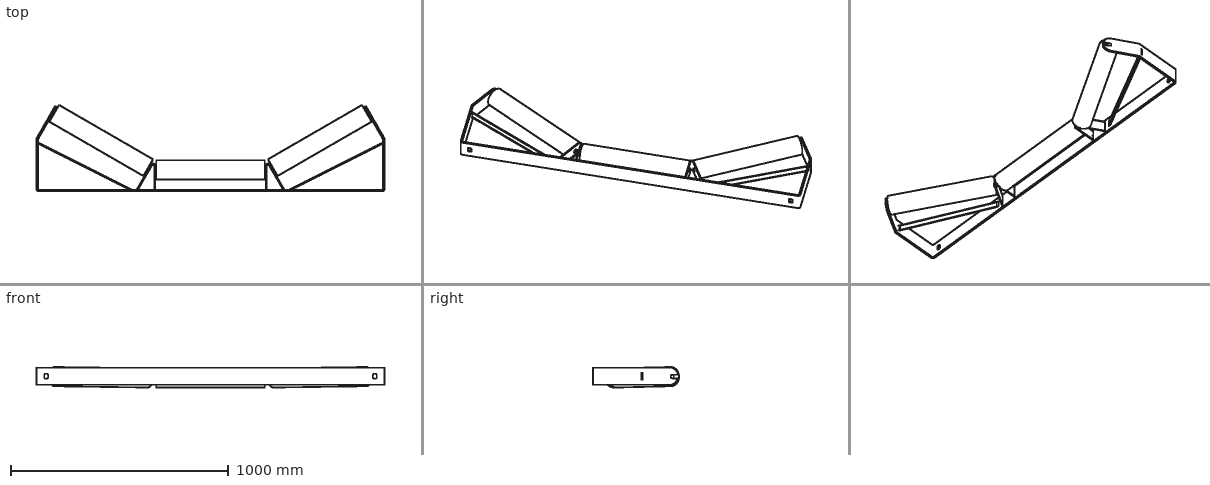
import cadquery as cq
import math

FRAME_LENGTH = 1600.0
FRAME_HEIGHT = 80.0
FRAME_THICKNESS = 8.0
FRAME_BEND_RADIUS = 12.0
SIDE_HEIGHT = 243.0
WING_LENGTH = 173.0
WING_AXIS_DISTANCE = 140.0
BOLT_SLOT_INSET = 45.0
BOLT_SLOT_WIDTH = 20.0
BOLT_SLOT_HEIGHT = 24.0

TROUGH_ANGLE = 30.0
WING_TILT = 0.7
ROLLER_DIAMETER = 90.0
ROLLER_LENGTH = 500.0
ROLLER_EDGE_RADIUS = 3.0
SHAFT_DIAMETER = 18.0
ROLLER_GAP = 5.0
CENTER_ROLLER_Y = 100.0
CENTER_ROLLER_Z = -48.0
WING_SHAFT_Z = -42.0

BRACKET_HEIGHT = 60.0
BRACKET_THICKNESS = 5.0
BRACKET_BEND_RADIUS = 10.0
BRACE_THICKNESS = 5.0
BRACE_HEIGHT = 30.0
BRACE_SIDE_Y = 229.0
BRACE_FOOT_X = 438.0

MID_X = FRAME_LENGTH / 2
MID_Z = -FRAME_HEIGHT / 2
WING_PLATE_ANGLE = 90 - TROUGH_ANGLE
FRAME_SHAFT_OVERHANG = ROLLER_GAP + FRAME_THICKNESS
BRACKET_SHAFT_OVERHANG = ROLLER_GAP + BRACKET_THICKNESS
BRACKET_LEG_X = MID_X - ROLLER_LENGTH / 2 - ROLLER_GAP


def along(point, angle, distance):
    """XY point at a distance from another, in the direction of an angle in degrees."""
    turn = math.radians(angle)
    return (point[0] + distance * math.cos(turn), point[1] + distance * math.sin(turn))


def extrude_outline(points, height):
    """Prism of a given height on the XY outline, centred on the middle height of the frame."""
    base = cq.Workplane("XY", origin=(0, 0, MID_Z - height / 2))
    return base.polyline(points).close().extrude(height)


def round_bend(body, inner, outer, outer_radius, thickness):
    """Round the upright edges at the inner and outer corner of a bend."""
    nearest = cq.selectors.NearestToPointSelector
    body = body.edges(nearest((*outer, MID_Z))).fillet(outer_radius)
    return body.edges(nearest((*inner, MID_Z))).fillet(outer_radius - thickness)


def mirrored(body):
    """The matching body on the other side of the middle plane."""
    return body.mirror("YZ", (MID_X, 0, 0))


SIDE_BEND = (0, SIDE_HEIGHT)
WING_END_CENTER = along(SIDE_BEND, WING_PLATE_ANGLE, WING_LENGTH - FRAME_HEIGHT / 2)
WING_AXIS = along(SIDE_BEND, WING_PLATE_ANGLE, WING_AXIS_DISTANCE)


def make_roller(start_overhang):
    """Roller along +X, with the start of its shaft at the origin."""
    shell = (
        cq.Workplane("YZ", origin=(start_overhang, 0, 0))
        .circle(ROLLER_DIAMETER / 2)
        .extrude(ROLLER_LENGTH)
        .edges()
        .fillet(ROLLER_EDGE_RADIUS)
    )
    shaft_length = start_overhang + ROLLER_LENGTH + BRACKET_SHAFT_OVERHANG
    return shell.union(cq.Workplane("YZ").circle(SHAFT_DIAMETER / 2).extrude(shaft_length))


def place_on_left_wing(body):
    """Move a body from the local +X axis onto the sloping, slightly tilted axis of the left wing."""
    return (
        body.rotate((0, 0, 0), (0, 1, 0), WING_TILT)
        .rotate((0, 0, 0), (0, 0, 1), -TROUGH_ANGLE)
        .translate((*WING_AXIS, WING_SHAFT_Z))
    )


center_roller = make_roller(BRACKET_SHAFT_OVERHANG).translate(
    (MID_X - ROLLER_LENGTH / 2 - BRACKET_SHAFT_OVERHANG, CENTER_ROLLER_Y, CENTER_ROLLER_Z)
)
left_roller = place_on_left_wing(make_roller(FRAME_SHAFT_OVERHANG))


def make_half_frame():
    inner_corner = (FRAME_THICKNESS, FRAME_THICKNESS)
    bend_drop = FRAME_THICKNESS * math.tan(math.radians(TROUGH_ANGLE / 2))
    inner_bend = (FRAME_THICKNESS, SIDE_HEIGHT - bend_drop)
    wing_inner_end = along(WING_END_CENTER, -TROUGH_ANGLE, FRAME_THICKNESS)
    outline = [
        (MID_X, 0),
        (0, 0),
        SIDE_BEND,
        WING_END_CENTER,
        wing_inner_end,
        inner_bend,
        inner_corner,
        (MID_X, FRAME_THICKNESS),
    ]
    half = extrude_outline(outline, FRAME_HEIGHT)
    half = round_bend(half, inner_corner, (0, 0), FRAME_BEND_RADIUS, FRAME_THICKNESS)
    half = round_bend(half, inner_bend, SIDE_BEND, FRAME_BEND_RADIUS, FRAME_THICKNESS)

    wing_plane = cq.Workplane(cq.Plane(
        origin=(*WING_END_CENTER, MID_Z),
        xDir=(*along((0, 0), WING_PLATE_ANGLE, 1), 0),
        normal=(*along((0, 0), -TROUGH_ANGLE, 1), 0),
    ))
    half = half.union(wing_plane.circle(FRAME_HEIGHT / 2).extrude(FRAME_THICKNESS))
    shaft_slot = place_on_left_wing(
        cq.Workplane("YZ")
        .center(FRAME_HEIGHT / 2, 0)
        .slot2D(FRAME_HEIGHT + SHAFT_DIAMETER, SHAFT_DIAMETER)
        .extrude(FRAME_SHAFT_OVERHANG, both=True)
    )
    bolt_slot = (
        cq.Workplane("XZ", origin=(BOLT_SLOT_INSET, 0, MID_Z))
        .slot2D(BOLT_SLOT_HEIGHT, BOLT_SLOT_WIDTH, 90)
        .extrude(-FRAME_THICKNESS)
    )
    return half.cut(shaft_slot).cut(bolt_slot)


def make_left_bracket():
    slope = math.tan(math.radians(WING_PLATE_ANGLE))
    foot_width = BRACKET_THICKNESS / math.sin(math.radians(WING_PLATE_ANGLE))
    face = along(WING_AXIS, -TROUGH_ANGLE, FRAME_SHAFT_OVERHANG + ROLLER_LENGTH + ROLLER_GAP)
    foot_x = face[0] - (face[1] - FRAME_THICKNESS) / slope
    inner_leg_x = BRACKET_LEG_X - BRACKET_THICKNESS
    inner_foot_x = foot_x + foot_width
    peak = (BRACKET_LEG_X, FRAME_THICKNESS + slope * (BRACKET_LEG_X - foot_x))
    inner_peak = (inner_leg_x, FRAME_THICKNESS + slope * (inner_leg_x - inner_foot_x))
    outline = [
        (foot_x, FRAME_THICKNESS),
        peak,
        (BRACKET_LEG_X, FRAME_THICKNESS),
        (inner_leg_x, FRAME_THICKNESS),
        inner_peak,
        (inner_foot_x, FRAME_THICKNESS),
    ]
    bracket = extrude_outline(outline, BRACKET_HEIGHT)
    bracket = round_bend(bracket, inner_peak, peak, BRACKET_BEND_RADIUS, BRACKET_THICKNESS)
    return bracket.cut(left_roller).cut(center_roller)


def make_left_brace():
    """Sloping flat bar from the top of the base to the outer face of the side."""
    rise = BRACE_SIDE_Y - FRAME_THICKNESS
    brace_length = math.hypot(BRACE_FOOT_X, rise)
    width_along_side = BRACE_THICKNESS * brace_length / BRACE_FOOT_X
    width_along_base = BRACE_THICKNESS * brace_length / rise
    outline = [
        (0, BRACE_SIDE_Y),
        (BRACE_FOOT_X, FRAME_THICKNESS),
        (BRACE_FOOT_X - width_along_base, FRAME_THICKNESS),
        (0, BRACE_SIDE_Y - width_along_side),
    ]
    return extrude_outline(outline, BRACE_HEIGHT)


half_frame = make_half_frame()
left_bracket = make_left_bracket()
left_brace = make_left_brace()
half_frame = half_frame.cut(left_brace)
frame = half_frame.union(mirrored(half_frame))

bodies = [frame, center_roller]
for left_body in (left_roller, left_bracket, left_brace):
    bodies += [left_body, mirrored(left_body)]

result = cq.Compound.makeCompound([body.val() for body in bodies])